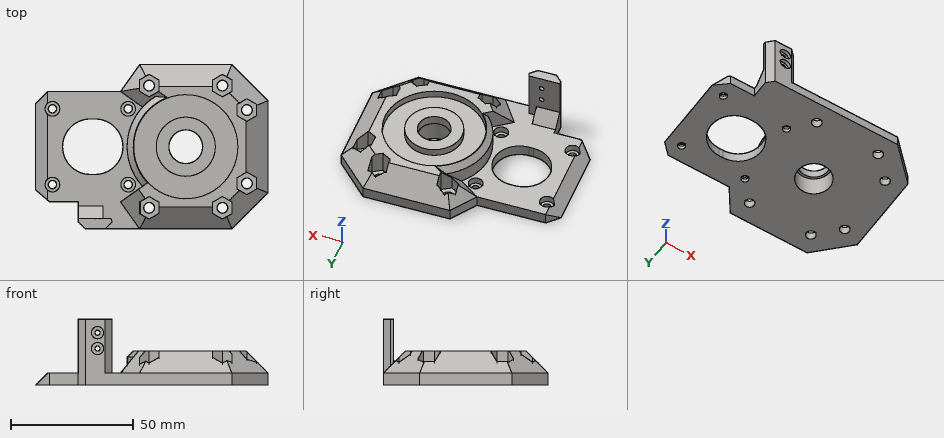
import cadquery as cq
import math

plate_thickness = 5.0
housing_top = 14.0
housing_rise = housing_top - plate_thickness
wall_top = 27.0
slope_angle = 45.0

housing_half = 33.66
housing_corner = 14.8
housing_flat = housing_half - housing_corner
shoulder_x = -26.7

overall_length = 95.16
plate_left = housing_half - overall_length
plate_half_width = 22.6
plate_corner = 4.95
front_corner_length = 5.8
motor_center_x = -39.05
motor_hole_spacing = 31.0
motor_screw_diameter = 3.3
motor_screw_head_diameter = 6.0
motor_screw_head_depth = 3.0
motor_slot_x = -38.06
motor_slot_diameter = 22.6
motor_slot_travel = 2.0

boss_radius = 24.0
boss_chamfer = 2.5
pocket_diameter = 42.6
pocket_depth = 3.3
hub_diameter = 24.2
bore_diameter = 13.7
lower_bore_diameter = 15.7
lower_bore_height = 9.9

nut_near = 15.0
nut_far = 25.0
nut_across_flats = 8.0
nut_floor = 4.0
nut_ledge_x = -18.45
bolt_diameter = 4.3

wall_left = -44.0
wall_right = -30.1
wall_thickness = 4.2
wall_chamfer = 2.9
wall_back_setback = 0.5
gusset_size = 5.2
gusset_right = -33.85
wall_screw_x = -36.1
wall_screw_heights = (15.0, 21.5)
wall_screw_diameter = 2.0
wall_screw_head_diameter = 5.0
wall_screw_head_depth = 1.5

shoulder_slope = (-housing_flat - shoulder_x) / (housing_half - plate_half_width)


def prism(points, bottom, height, taper=0):
    profile = cq.Workplane("XY").workplane(offset=bottom).polyline(points).close()
    return profile.extrude(height, taper=taper)


def cylinder(diameter, bottom, top):
    return cq.Workplane("XY").workplane(offset=bottom).circle(diameter / 2).extrude(top - bottom)


def housing_outline():
    """Housing corners, clockwise from the (-X, +Y) corner to the (-X, -Y) corner."""
    return [
        (-housing_flat, housing_half),
        (housing_flat, housing_half),
        (housing_half, housing_flat),
        (housing_half, -housing_flat),
        (housing_flat, -housing_half),
        (-housing_flat, -housing_half),
    ]


def base_plate():
    outline = housing_outline() + [
        (wall_left + wall_chamfer, -housing_half),
        (wall_left, -housing_half + wall_chamfer),
        (wall_left, -plate_half_width),
        (plate_left + front_corner_length, -plate_half_width),
        (plate_left, -plate_half_width + plate_corner),
        (plate_left, plate_half_width - plate_corner),
        (plate_left + plate_corner, plate_half_width),
        (shoulder_x, plate_half_width),
    ]
    plate = prism(outline, 0, plate_thickness)

    bevel = (
        cq.Workplane("XZ")
        .polyline([
            (plate_left, 0),
            (plate_left, plate_thickness),
            (plate_left + plate_thickness, plate_thickness),
        ])
        .close()
        .extrude(plate_half_width, both=True)
    )
    return plate.cut(bevel)


def housing():
    """Tapered housing, notched on the left where the motor plate enters."""
    left_tip = (shoulder_x - plate_half_width * shoulder_slope, 0)
    body = prism(housing_outline() + [left_tip], plate_thickness, housing_rise, slope_angle)

    notch_tip = (shoulder_x + plate_half_width / shoulder_slope, 0)
    notch = prism(
        [
            left_tip,
            (shoulder_x, -plate_half_width),
            notch_tip,
            (shoulder_x, plate_half_width),
        ],
        plate_thickness,
        housing_rise,
    )

    lean_plane = cq.Plane(
        origin=(shoulder_x, plate_half_width, plate_thickness),
        xDir=(shoulder_slope, 1, 0),
        normal=(1, -shoulder_slope, 0),
    )
    lean_length = math.hypot(plate_half_width, notch_tip[0] - shoulder_x)
    lean = (
        cq.Workplane(lean_plane)
        .workplane(offset=-housing_half)
        .polyline([(0, 0), (0, housing_rise), (housing_rise, housing_rise)])
        .close()
        .extrude(lean_length + housing_half)
    )
    return body.cut(notch).cut(lean)


def bearing_boss():
    boss = cylinder(2 * boss_radius, plate_thickness, housing_top)
    return boss.faces(">Z").edges().chamfer(boss_chamfer)


def bearing_pocket():
    pocket_floor = housing_top - pocket_depth
    pocket = cylinder(pocket_diameter, pocket_floor, housing_top)
    hub = cylinder(hub_diameter, pocket_floor, housing_top)
    upper_bore = cylinder(bore_diameter, 0, housing_top)
    lower_bore = cylinder(lower_bore_diameter, 0, lower_bore_height)
    return pocket.cut(hub).union(upper_bore).union(lower_bore)


def nut_pockets():
    """Bolt holes with hexagonal pockets whose points face +Y and -Y."""
    centers = [(x, y) for x in (-nut_near, nut_near) for y in (-nut_far, nut_far)]
    centers += [(nut_far, -nut_near), (nut_far, nut_near)]
    bolts = cq.Workplane("XY").pushPoints(centers).circle(bolt_diameter / 2).extrude(housing_top)
    corner_radius = nut_across_flats / 2 / math.cos(math.pi / 6)
    pocket = (
        cq.Workplane("XY")
        .workplane(offset=nut_floor)
        .polygon(6, 2 * corner_radius)
        .extrude(housing_top - nut_floor)
        .rotate((0, 0, 0), (0, 0, 1), 90)
    )
    tool = bolts
    for x, y in centers:
        tool = tool.union(pocket.translate((x, y, 0)))

    ledge = cq.Workplane("XY").box(
        nut_across_flats,
        2 * corner_radius,
        plate_thickness - nut_floor,
        centered=(False, True, False),
    )
    return tool.cut(ledge.translate((nut_ledge_x - nut_across_flats, -nut_far, nut_floor)))


def motor_cuts():
    slot = (
        cq.Workplane("XY")
        .center(motor_slot_x, 0)
        .slot2D(motor_slot_diameter + motor_slot_travel, motor_slot_diameter)
        .extrude(plate_thickness)
    )

    def holes(diameter, depth):
        return (
            cq.Workplane("XY")
            .workplane(offset=plate_thickness - depth)
            .center(motor_center_x, 0)
            .rect(motor_hole_spacing, motor_hole_spacing, forConstruction=True)
            .vertices()
            .circle(diameter / 2)
            .extrude(depth)
        )

    screws = holes(motor_screw_diameter, plate_thickness)
    heads = holes(motor_screw_head_diameter, motor_screw_head_depth)
    return slot.union(screws).union(heads)


def switch_wall():
    front = -housing_half
    back = front + wall_thickness
    wall = prism(
        [
            (wall_left, back),
            (wall_left, front + wall_chamfer),
            (wall_left + wall_chamfer, front),
            (wall_right - wall_chamfer, front),
            (wall_right, front + wall_chamfer),
            (wall_right - wall_back_setback, back),
        ],
        0,
        wall_top,
    )
    gusset = (
        cq.Workplane("YZ")
        .workplane(offset=wall_left)
        .polyline([
            (back, plate_thickness),
            (back + gusset_size, plate_thickness),
            (back, plate_thickness + gusset_size),
        ])
        .close()
        .extrude(gusset_right - wall_left)
    )
    return wall.union(gusset)


def wall_screw_cuts():
    centers = [(wall_screw_x, z) for z in wall_screw_heights]

    def holes(diameter, depth):
        front = cq.Workplane("XZ", origin=(0, -housing_half, 0))
        return front.pushPoints(centers).circle(diameter / 2).extrude(-depth)

    screws = holes(wall_screw_diameter, wall_thickness)
    return screws.union(holes(wall_screw_head_diameter, wall_screw_head_depth))


result = base_plate().union(housing()).union(bearing_boss()).union(switch_wall())
for cuts in (bearing_pocket(), nut_pockets(), motor_cuts(), wall_screw_cuts()):
    result = result.cut(cuts)